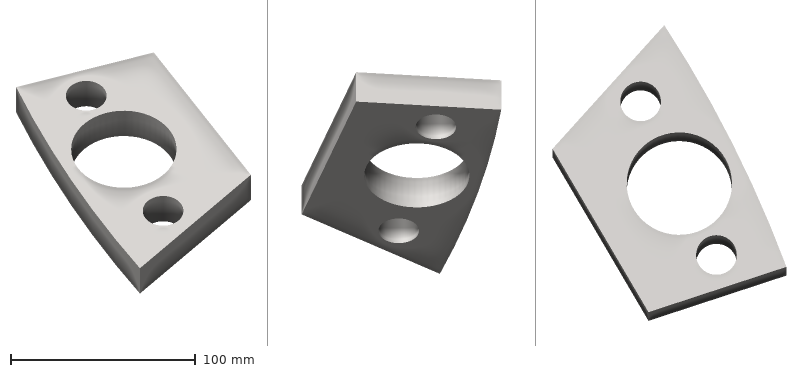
import cadquery as cq

length = 149.8
width = 87.5
thickness = 20.0

rear_left_x = 15.1
rear_right_x = 120.0

front_left_y = 10.0
front_right_y = 0.7
front_low_x = 117.8

bore_diameter = 57.1
bore_center = (69.0, 37.5)
bolt_diameter = 22.0
bolt_centers = [(24.5, 39.7), (119.2, 33.0)]


def make_plate():
    """Four-sided plate with a bowed front edge."""
    return (
        cq.Workplane("XY")
        .moveTo(0, front_left_y)
        .threePointArc((front_low_x, 0), (length, front_right_y))
        .lineTo(rear_right_x, width)
        .lineTo(rear_left_x, width)
        .close()
        .extrude(thickness)
    )


def make_holes(centers, diameter):
    """Cylinders through the full plate thickness."""
    return cq.Workplane("XY").pushPoints(centers).circle(diameter / 2).extrude(thickness)


result = (
    make_plate()
    .cut(make_holes([bore_center], bore_diameter))
    .cut(make_holes(bolt_centers, bolt_diameter))
)